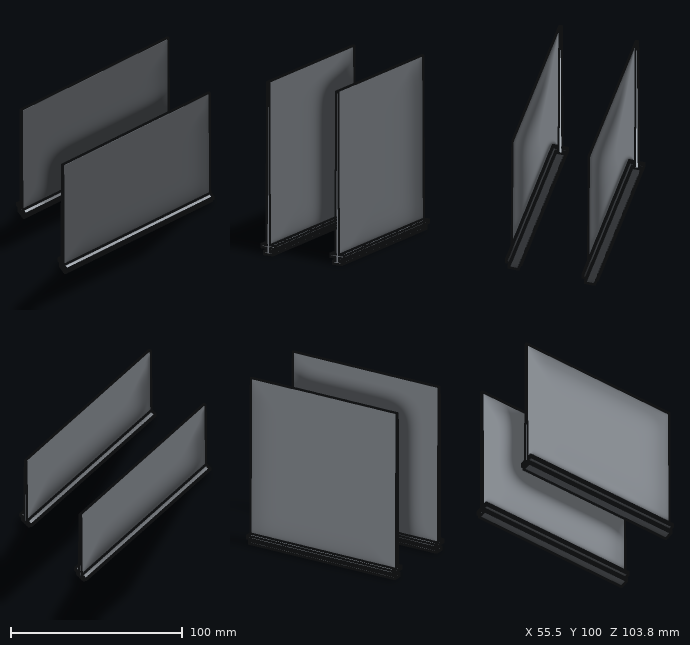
import cadquery as cq

overall_width = 55.5
length = 100.0
height = 103.8

foot_width = 5.8
foot_thickness = 1.8
neck_width = 2.6
neck_height = 2.2
flange_width = 9.2
flange_thickness = 1.8

blade_base_width = 2.4
blade_top_width = 1.5
blade_edge_radius = 0.6

flange_bottom = foot_thickness + neck_height
flange_top = flange_bottom + flange_thickness
divider_spacing = overall_width - flange_width


def make_divider(center_x):
    """Extruded divider: foot, neck, flange and tapered blade in one solid."""
    right_side = [
        (foot_width / 2, 0),
        (foot_width / 2, foot_thickness),
        (neck_width / 2, foot_thickness),
        (neck_width / 2, flange_bottom),
        (flange_width / 2, flange_bottom),
        (flange_width / 2, flange_top),
        (blade_base_width / 2, flange_top),
        (blade_top_width / 2, height),
    ]
    left_side = [(-x, z) for x, z in reversed(right_side)]
    divider = (
        cq.Workplane("XZ")
        .polyline(right_side + left_side)
        .close()
        .extrude(length / 2, both=True)
    )
    divider = divider.faces(">Z").edges("|Y").fillet(blade_edge_radius)
    return divider.translate((center_x, 0, 0))


dividers = [make_divider(side * divider_spacing / 2) for side in (-1, 1)]

result = cq.Compound.makeCompound([divider.val() for divider in dividers])